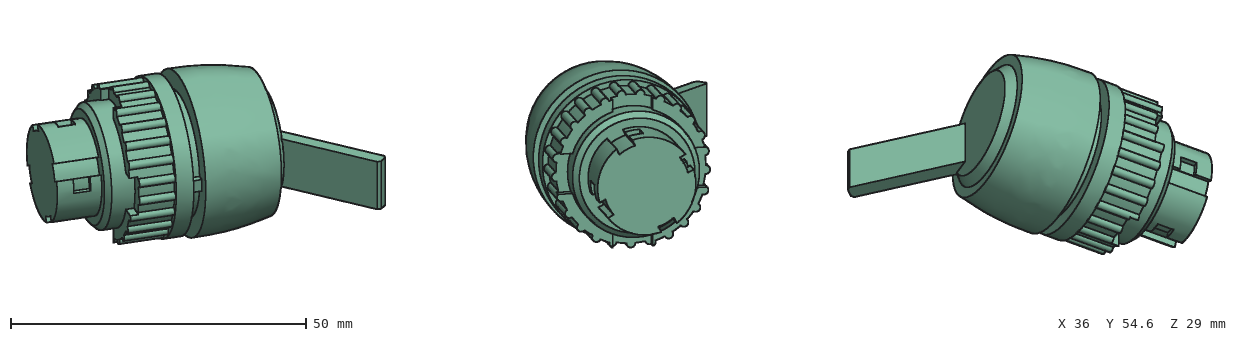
import cadquery as cq
import math


tail_length = 7.9
barrel_chamfer = 1.0
knurl_start = 11.55
knurl_end = 19.4
collar_end = 22.5
bell_start = 24.5
bell_end = 38.5
cap_end = 40.05
overall_length = 54.55

tail_diameter = 17.0
barrel_diameter = 22.0
neck_diameter = 22.3
knurl_root_diameter = 25.95
collar_diameter = 28.0
bell_diameter = 29.0
bell_middle_diameter = 28.3
bell_narrow_diameter = 25.65

tooth_count = 25
tooth_radius = 0.75
first_tooth_angle = -90
notch_width = 7.0
notch_depth = 1.45

slot_count = 4
slot_angle = 27.5
slot_width = 3.05
slot_floor_radius = 7.4
pocket_start = 2.95
pocket_length = 3.0
pocket_floor_radius = 7.65
pocket_sweep = slot_angle

key_width = 2.2
key_reach = 12.3

lever_width = 9.1
lever_thickness = 2.5
lever_angle = 45
lever_tip_chamfer = 0.5
lever_reach = 21.5
lever_root_depth = 2.7


def disc(diameter, start, end):
    """Cylinder on the Y axis between two stations."""
    plane = cq.Workplane("XZ", origin=(0, start, 0))
    return plane.circle(diameter / 2).extrude(start - end)


def turned_on_y(profile):
    """Revolve a closed (radius, Y) profile about the Y axis."""
    return profile.revolve(360, (0, 0, 0), (0, 1, 0))


def at_angle(body, angle):
    """Turn a body about the Y axis, from +X towards +Z."""
    return body.rotate((0, 0, 0), (0, 1, 0), -angle)


def make_barrel():
    """Core with a chamfer at each end, running from the tail to the cap."""
    radius = barrel_diameter / 2
    cap_chamfer = cap_end - bell_end
    profile = (
        cq.Workplane("XY")
        .moveTo(0, tail_length)
        .lineTo(radius - barrel_chamfer, tail_length)
        .lineTo(radius, tail_length + barrel_chamfer)
        .lineTo(radius, bell_end)
        .lineTo(radius - cap_chamfer, cap_end)
        .lineTo(0, cap_end)
        .close()
    )
    return turned_on_y(profile)


def make_bell():
    """Grip whose side is an arc, narrowing from the rim next to the neck towards the cap."""
    bell_middle = (bell_start + bell_end) / 2
    profile = (
        cq.Workplane("XY")
        .moveTo(0, bell_start)
        .lineTo(bell_diameter / 2, bell_start)
        .threePointArc((bell_middle_diameter / 2, bell_middle), (bell_narrow_diameter / 2, bell_end))
        .lineTo(0, bell_end)
        .close()
    )
    return turned_on_y(profile)


def make_knurled_ring():
    """Ring with round teeth and a notch in its end face on each of four sides."""
    ring = disc(knurl_root_diameter, knurl_start, knurl_end)
    tooth = (
        cq.Workplane("XZ", origin=(knurl_root_diameter / 2, knurl_start, 0))
        .circle(tooth_radius)
        .extrude(knurl_start - knurl_end)
    )
    for index in range(tooth_count):
        ring = ring.union(at_angle(tooth, first_tooth_angle + index * 360 / tooth_count))
    for sizes in ((notch_width, 2 * bell_diameter), (2 * bell_diameter, notch_width)):
        notch = cq.Workplane("XZ", origin=(0, knurl_start, 0)).rect(*sizes).extrude(-notch_depth)
        ring = ring.cut(notch)
    return ring


def make_slot_cutter():
    """One bayonet slot with its side pocket, the slot being centred on +X."""
    slot = (
        cq.Workplane("XY")
        .box(tail_diameter, tail_length, slot_width, centered=(False, False, True))
        .cut(disc(2 * slot_floor_radius, 0, tail_length))
    )
    wedge_length = tail_diameter
    pocket_end = pocket_start + pocket_length
    wedge = (
        cq.Workplane("XZ", origin=(0, pocket_start, 0))
        .lineTo(wedge_length, 0)
        .lineTo(wedge_length, -wedge_length * math.tan(math.radians(pocket_sweep)))
        .close()
        .extrude(-pocket_length)
    )
    pocket = wedge.cut(disc(2 * pocket_floor_radius, pocket_start, pocket_end))
    return slot.union(pocket)


def make_tail():
    """Tail with evenly spaced bayonet slots."""
    tail = disc(tail_diameter, 0, tail_length)
    cutter = make_slot_cutter()
    for index in range(slot_count):
        tail = tail.cut(at_angle(cutter, slot_angle + index * 360 / slot_count))
    return tail


def make_neck():
    """Neck between collar and bell, with a locating key on +X."""
    neck = disc(neck_diameter, collar_end, bell_start)
    key = cq.Workplane("XY", origin=(0, collar_end, 0)).box(
        key_reach, bell_start - collar_end, key_width, centered=(False, False, True)
    )
    return neck.union(key)


def make_lever():
    """Slanted flat lever with a chamfered tip, rooted inside the cap."""
    slant = math.radians(lever_angle)
    half_end_face = lever_thickness / 2 - lever_tip_chamfer
    tip_x = lever_reach - half_end_face * math.sin(slant)
    tip_y = overall_length - half_end_face * math.cos(slant)
    length = (tip_y - cap_end + lever_root_depth) / math.sin(slant)
    return (
        cq.Workplane("XY")
        .box(length, lever_thickness, lever_width, centered=(False, True, True))
        .edges("|Z and >X")
        .chamfer(lever_tip_chamfer)
        .translate((-length, 0, 0))
        .rotate((0, 0, 0), (0, 0, 1), lever_angle)
        .translate((tip_x, tip_y, 0))
    )


result = (
    make_barrel()
    .union(make_bell())
    .union(make_knurled_ring())
    .union(disc(collar_diameter, knurl_end, collar_end))
    .union(make_neck())
    .union(make_tail())
    .union(make_lever())
)